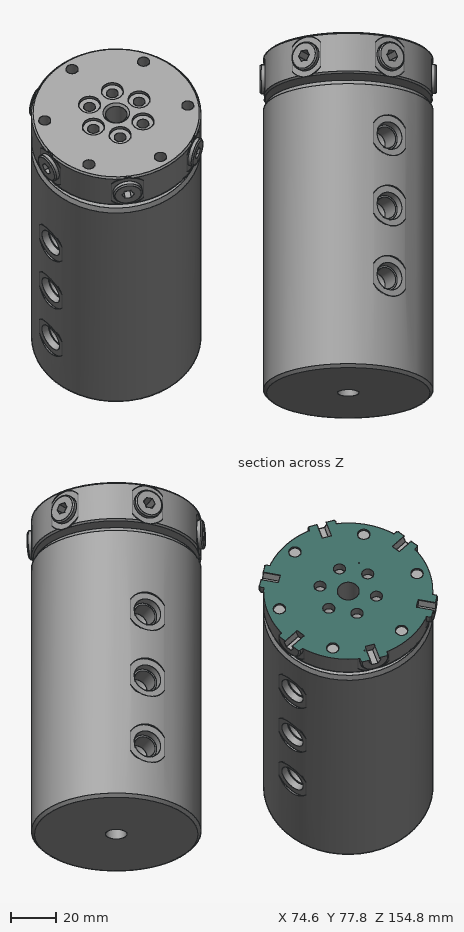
import cadquery as cq
import math

total_height = 154.8
diameter = 74.6
radius = diameter / 2
head_height = 18.9
neck_height = 3.1
neck_diameter = 51.4
body_top = total_height - head_height - neck_height
body_top_chamfer_height = 2.0
body_top_chamfer_width = 1.2
base_chamfer = 1.4
head_chamfer = 0.8

bore_diameter = 9.5
bore_chamfer = 1.1

port_count = 6
top_port_circle_radius = 12.7
top_port_diameter = 5.1
top_port_depth = 12.4
seal_recess_diameter = 9.6
seal_recess_depth = 1.5

mount_circle_radius = 31.7
mount_diameter = 5.3
mount_depth = 9.3

lowest_port_height = 27.4
port_pitch = 16.3
side_port_mouth_diameter = 12.5
side_port_seat_diameter = 11.3
side_port_seat_depth = 3.1
side_port_drill_diameter = 9.8
side_port_drill_depth = 12.4
side_port_flat_diameter = 18.5
side_port_flat_depth = 0.87

plug_drop = 9.8
plug_height = total_height - plug_drop
plug_flat_diameter = 18.3
plug_flat_depth = 0.7
plug_diameter = 12.8
plug_face_radius = 38.9
plug_chamfer = 0.6
socket_corner_diameter = 5.4
socket_depth = 7.7

drill_point_angle = 118.0


def radial_plane(angle, distance, height):
    """Workplane facing outward at the given angle, local X pointing up."""
    turn = math.radians(angle)
    outward = (math.cos(turn), math.sin(turn), 0)
    origin = (distance * outward[0], distance * outward[1], height)
    return cq.Workplane(cq.Plane(origin=origin, xDir=(0, 0, 1), normal=outward))


def drill(hole_diameter, depth):
    """Drill entering downward from the origin, with a conical tip below its full depth."""
    hole_radius = hole_diameter / 2
    tip = hole_radius / math.tan(math.radians(drill_point_angle / 2))
    return (
        cq.Workplane("XZ")
        .polyline([(0, 0), (hole_radius, 0), (hole_radius, -depth), (0, -depth - tip)])
        .close()
        .revolve(360, (0, 0, 0), (0, 1, 0))
    )


def make_column():
    """Body, neck and head turned as one profile."""
    neck_radius = neck_diameter / 2
    head_bottom = total_height - head_height
    profile = [
        (0, 0),
        (radius - base_chamfer, 0),
        (radius, base_chamfer),
        (radius, body_top - body_top_chamfer_height),
        (radius - body_top_chamfer_width, body_top),
        (neck_radius, body_top),
        (neck_radius, head_bottom),
        (radius - head_chamfer, head_bottom),
        (radius, head_bottom + head_chamfer),
        (radius, total_height - head_chamfer),
        (radius - head_chamfer, total_height),
        (0, total_height),
    ]
    return cq.Workplane("XZ").polyline(profile).close().revolve(360, (0, 0, 0), (0, 1, 0))


def cut_top_holes(part):
    """Chamfered through bore, recessed ports and mounting holes in the top face."""
    top = cq.Workplane("XY", origin=(0, 0, total_height))
    bore = top.circle(bore_diameter / 2).extrude(-total_height)
    mouth = top.circle(bore_diameter / 2 + bore_chamfer).extrude(-bore_chamfer, taper=45)
    recesses = (
        top.polarArray(top_port_circle_radius, 90, 360, port_count)
        .circle(seal_recess_diameter / 2)
        .extrude(-seal_recess_depth)
    )
    mounts = (
        top.polarArray(mount_circle_radius, 0, 360, port_count)
        .circle(mount_diameter / 2)
        .extrude(-mount_depth)
    )
    part = part.cut(bore).cut(mouth).cut(recesses).cut(mounts)
    port = drill(top_port_diameter, top_port_depth)
    port = port.translate((0, top_port_circle_radius, total_height))
    for i in range(port_count):
        part = part.cut(port.rotate((0, 0, 0), (0, 0, 1), i * 360 / port_count))
    return part


def cut_flat(part, angle, height, flat_diameter, depth):
    """Round spot face cut square to the radial direction."""
    spot = radial_plane(angle, radius - depth, height).circle(flat_diameter / 2).extrude(2 * depth)
    return part.cut(spot)


def cut_side_port(part, angle, height):
    """Spot-faced blind port: a tapered seat stepping down to a smaller drilled hole."""
    part = cut_flat(part, angle, height, side_port_flat_diameter, side_port_flat_depth)
    face = radius - side_port_flat_depth
    mouth = radial_plane(angle, face, height).circle(side_port_mouth_diameter / 2)
    narrowing = (side_port_mouth_diameter - side_port_seat_diameter) / 2
    seat_taper = math.degrees(math.atan(narrowing / side_port_seat_depth))
    seat = mouth.extrude(-side_port_seat_depth, taper=seat_taper)
    hole = (
        drill(side_port_drill_diameter, side_port_drill_depth)
        .rotate((0, 0, 0), (0, 1, 0), 90)
        .translate((face, 0, height))
        .rotate((0, 0, 0), (0, 0, 1), angle)
    )
    return part.cut(seat).cut(hole)


def add_plug(part, angle):
    """Spot face on the head with a raised round plug and a hexagon socket."""
    part = cut_flat(part, angle, plug_height, plug_flat_diameter, plug_flat_depth)
    face = radius - plug_flat_depth
    turn = math.radians(angle)
    outward = cq.Vector(math.cos(turn), math.sin(turn), 0)
    plug = (
        radial_plane(angle, face, plug_height)
        .circle(plug_diameter / 2)
        .extrude(plug_face_radius - face)
        .faces(cq.selectors.DirectionMinMaxSelector(outward))
        .chamfer(plug_chamfer)
    )
    socket = (
        radial_plane(angle, plug_face_radius, plug_height)
        .transformed(rotate=(0, 0, 90))
        .polygon(6, socket_corner_diameter)
        .extrude(-socket_depth)
    )
    return part.union(plug).cut(socket)


result = cut_top_holes(make_column())
for i in range(port_count):
    side_angle = -90 if i % 2 == 0 else 90
    result = cut_side_port(result, side_angle, lowest_port_height + i * port_pitch)
for i in range(port_count):
    result = add_plug(result, 90 + i * 360 / port_count)